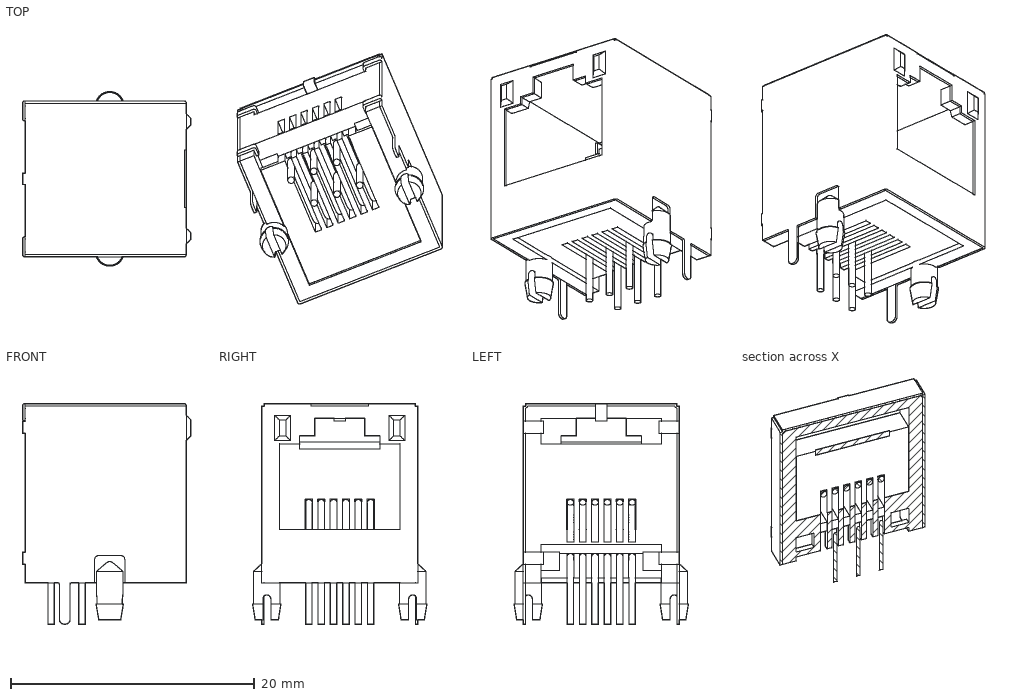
import cadquery as cq
import math


SHEET = 0.21
SHIELD_FRONT = 13.26
SHIELD_WIDTH = 12.84
SHIELD_HEIGHT = 14.75
BEND_RADIUS = 0.2

HOUSING_LENGTH = SHIELD_FRONT - SHEET
HOUSING_WIDTH = SHIELD_WIDTH - 2 * SHEET
HOUSING_HEIGHT = SHIELD_HEIGHT - SHEET
TOP_CHAMFER = 0.2
REAR_WALL = 1.92
FRONT_WALL = 1.0

CORE_WIDTH = 9.92
WINDOW_BOTTOM = 11.43
WINDOW_TOP = 13.52
CAVITY_BOTTOM = 4.4
LATCH_WIDE = 6.58
LATCH_WIDE_TOP = 12.08
LATCH_NARROW = 4.1
BEVEL_TOP = 11.98
BEVEL_RUN = 0.15
SILL_TOP = 11.59
SILL_LENGTH = 0.4
SILL_HEIGHT = 0.6

NOTCH_DEPTH = 1.5
NOTCH_TOP_OUTER = 3.15
NOTCH_TOP_INNER = 2.41
UNDERSIDE_STEP = 0.42
POCKET_INNER_Y = 3.43
POCKET_BOTTOM = 1.01
POCKET_TOP = 2.52
POCKET_DEPTH = 1.5

WIRE_COUNT = 6
WIRE_PITCH = 1.015
WIRE_DIAMETER = 0.55
WIRE_BOTTOM = -3.4
WIRE_ROW_X = (4.68, 2.14)
WIRE_RUN_Z = NOTCH_TOP_INNER - WIRE_DIAMETER / 2
WIRE_FOOT_BEND = 0.37
WIRE_SPRING_BEND = 0.6
WIRE_SPRING_SLOPE = math.radians(30)
WIRE_TIP_X = 1.7
WIRE_TIP_Z = 6.63
SLOT_WIDTH = 0.56
COMB_SLOT_BOTTOM = 3.37
COMB_SLOT_TOP = 6.89

POST_X = 6.96
POST_Y = 6.0
POST_RADIUS = 1.1
POST_TOP = 0.95
POST_CONE_HEIGHT = 1.0
POST_BARB_Z = -1.735
POST_BARB_RADIUS = 1.18
POST_END_Z = -3.05
POST_END_RADIUS = 0.965
POST_SLIT = 0.66
POST_SLIT_TOP = -1.0

POST_CUTOUT_WIDTH = 2.47
POST_CUTOUT_TOP = 2.24
POST_CUTOUT_FILLET = 0.3
LEG_X = 3.26
LEG_WIDTH = 0.9
LEG_BOTTOM = WIRE_BOTTOM
LEG_END_FILLET = 0.4
LEG_ROOT_FILLET = 0.12
HOOK_WIDTH = 1.0
HOOK_BOTTOMS = (1.52, 12.3)
HOOK_DEPTH = 0.55
TOP_HOOK_WIDTH = 0.95
BUMP_Y = 4.7
BUMP_Z = 12.74
BUMP_HEIGHT = 0.38
BUMP_WIDTH = 1.3
BUMP_LENGTH = 2.08
FRONT_RELIEF_WIDTH = 4.71
FRONT_RELIEF_DEPTH = 0.15


def block(x_range, y_range, z_range):
    """Box between two limits on each axis."""
    x0, x1 = x_range
    y0, y1 = y_range
    z0, z1 = z_range
    return cq.Workplane("XY").box(x1 - x0, y1 - y0, z1 - z0, centered=False).translate((x0, y0, z0))


def centred_block(x_range, width, z_range):
    """Box lying evenly on both sides of the middle plane."""
    return block(x_range, (-width / 2, width / 2), z_range)


def wire_positions():
    """Row X and Y of every wire."""
    first_y = -WIRE_PITCH * (WIRE_COUNT - 1) / 2
    return [(WIRE_ROW_X[i % 2], first_y + i * WIRE_PITCH) for i in range(WIRE_COUNT)]


def wire_spring():
    """Corner points of the spring bend, in X and Z: its start, its middle and its end."""
    rise = WIRE_SPRING_BEND * math.cos(WIRE_SPRING_SLOPE)
    reach = WIRE_SPRING_BEND * math.sin(WIRE_SPRING_SLOPE)
    centre_z = WIRE_RUN_Z + WIRE_SPRING_BEND
    end_z = centre_z + rise
    end_x = WIRE_TIP_X + (WIRE_TIP_Z - end_z) / math.tan(WIRE_SPRING_SLOPE)
    start_x = end_x - reach
    middle_angle = -WIRE_SPRING_SLOPE / 2
    middle = (
        start_x + WIRE_SPRING_BEND * math.cos(middle_angle),
        centre_z + WIRE_SPRING_BEND * math.sin(middle_angle),
    )
    return (start_x, WIRE_RUN_Z), middle, (end_x, end_z)


def wire(row_x, y):
    """Round contact: a pin, a run under the cavity floor and a spring rising towards the rear."""
    foot_centre = (row_x + WIRE_FOOT_BEND, WIRE_RUN_Z - WIRE_FOOT_BEND)
    foot_middle = (
        foot_centre[0] - WIRE_FOOT_BEND * math.sqrt(0.5),
        foot_centre[1] + WIRE_FOOT_BEND * math.sqrt(0.5),
    )
    spring_start, spring_middle, spring_end = wire_spring()
    path = (
        cq.Workplane("XZ", origin=(0, y, 0))
        .moveTo(row_x, WIRE_BOTTOM)
        .lineTo(row_x, foot_centre[1])
        .threePointArc(foot_middle, (foot_centre[0], WIRE_RUN_Z))
        .lineTo(*spring_start)
        .threePointArc(spring_middle, spring_end)
        .lineTo(WIRE_TIP_X, WIRE_TIP_Z)
    )
    section = cq.Workplane("XY", origin=(row_x, y, WIRE_BOTTOM)).circle(WIRE_DIAMETER / 2)
    return section.sweep(path)


def snap_post(side):
    """Split post with a conical top and a barbed lower end, on the +Y or -Y side."""
    post = (
        cq.Workplane("XZ")
        .moveTo(0, POST_TOP + POST_CONE_HEIGHT)
        .lineTo(POST_RADIUS, POST_TOP)
        .lineTo(POST_RADIUS, POST_BARB_Z)
        .lineTo(POST_BARB_RADIUS, POST_BARB_Z)
        .lineTo(POST_END_RADIUS, POST_END_Z)
        .lineTo(0, POST_END_Z)
        .close()
        .revolve(360, (0, 0), (0, 1))
    )
    slit_length = 2 * (POST_SLIT_TOP - POST_END_Z)
    slit = (
        cq.Workplane("YZ")
        .center(0, POST_END_Z)
        .slot2D(slit_length, POST_SLIT, 90)
        .extrude(2 * POST_BARB_RADIUS, both=True)
    )
    return post.cut(slit).translate((POST_X, side * POST_Y, 0))


def plug_passage():
    """Rear window, plug cavity and stepped latch passage, opening at the front."""
    inside = (REAR_WALL, HOUSING_LENGTH - FRONT_WALL)
    through_front = (REAR_WALL, HOUSING_LENGTH)
    window = centred_block((0, inside[1]), CORE_WIDTH, (WINDOW_BOTTOM, WINDOW_TOP))
    cavity = centred_block(through_front, CORE_WIDTH, (CAVITY_BOTTOM, WINDOW_BOTTOM))
    latch_wide = centred_block(through_front, LATCH_WIDE, (WINDOW_BOTTOM, LATCH_WIDE_TOP))
    latch_narrow = centred_block(through_front, LATCH_NARROW, (WINDOW_BOTTOM, WINDOW_TOP))
    bevel = (
        cq.Workplane("XZ")
        .moveTo(inside[1], BEVEL_TOP)
        .lineTo(inside[1] + BEVEL_RUN, WINDOW_BOTTOM)
        .lineTo(inside[1], WINDOW_BOTTOM)
        .close()
        .extrude(CORE_WIDTH / 2, both=True)
    )
    sill = centred_block(
        (REAR_WALL, REAR_WALL + SILL_LENGTH),
        LATCH_WIDE,
        (SILL_TOP - SILL_HEIGHT, SILL_TOP),
    )
    return window.union(cavity).union(latch_wide).union(latch_narrow).union(bevel).cut(sill)


def rear_notch():
    """Notch under the rear wall with a sloping roof, and the step in the underside."""
    notch = (
        cq.Workplane("XZ")
        .lineTo(0, NOTCH_TOP_OUTER)
        .lineTo(NOTCH_DEPTH, NOTCH_TOP_INNER)
        .lineTo(NOTCH_DEPTH, 0)
        .close()
        .extrude(CORE_WIDTH / 2, both=True)
    )
    step = centred_block((NOTCH_DEPTH, HOUSING_LENGTH - FRONT_WALL), CORE_WIDTH, (0, UNDERSIDE_STEP))
    return notch.union(step)


def side_pocket(side):
    """Pocket behind the rear notch at its +Y or -Y end."""
    middle_y = side * (CORE_WIDTH / 2 + POCKET_INNER_Y) / 2
    half_width = (CORE_WIDTH / 2 - POCKET_INNER_Y) / 2
    return block(
        (0, NOTCH_DEPTH + POCKET_DEPTH),
        (middle_y - half_width, middle_y + half_width),
        (POCKET_BOTTOM, POCKET_TOP),
    )


def wire_slots(y):
    """Clearance for one wire: comb slot in the rear wall, groove and cavity floor slot."""
    y_range = (y - SLOT_WIDTH / 2, y + SLOT_WIDTH / 2)
    bend_end = wire_spring()[0][0] + WIRE_SPRING_BEND + WIRE_DIAMETER / 2
    comb = block((0, REAR_WALL), y_range, (COMB_SLOT_BOTTOM, COMB_SLOT_TOP))
    groove = block((NOTCH_DEPTH, bend_end), y_range, (UNDERSIDE_STEP, NOTCH_TOP_INNER))
    floor = block((REAR_WALL, bend_end), y_range, (NOTCH_TOP_INNER, CAVITY_BOTTOM))
    return comb.union(groove).union(floor)


def housing_block():
    """Plain outer block of the housing, which also fills the inside of the shield."""
    return (
        centred_block((0, HOUSING_LENGTH), HOUSING_WIDTH, (0, HOUSING_HEIGHT))
        .edges("|X and >Z")
        .chamfer(TOP_CHAMFER)
    )


def make_housing():
    housing = housing_block().cut(plug_passage()).cut(rear_notch())
    for _, y in wire_positions():
        housing = housing.cut(wire_slots(y))
    for side in (-1, 1):
        housing = housing.cut(side_pocket(side)).union(snap_post(side))
    return housing


def post_cutout():
    """Round-cornered cutouts in both side sheets around the snap posts."""
    return (
        block(
            (POST_X - POST_CUTOUT_WIDTH / 2, POST_X + POST_CUTOUT_WIDTH / 2),
            (-SHIELD_WIDTH, SHIELD_WIDTH),
            (0, POST_CUTOUT_TOP),
        )
        .edges("|Y and >Z")
        .fillet(POST_CUTOUT_FILLET)
    )


def front_relief():
    """Gap in the bend between the top and front sheets."""
    return centred_block(
        (SHIELD_FRONT - FRONT_RELIEF_DEPTH, SHIELD_FRONT),
        FRONT_RELIEF_WIDTH,
        (HOUSING_HEIGHT, SHIELD_HEIGHT),
    )


def outer_side_range(side):
    """Y limits of the side sheet on the +Y or -Y side."""
    return sorted((side * HOUSING_WIDTH / 2, side * SHIELD_WIDTH / 2))


def ground_leg(side):
    """Solder leg hanging from a side sheet."""
    return (
        block(
            (LEG_X - LEG_WIDTH / 2, LEG_X + LEG_WIDTH / 2),
            outer_side_range(side),
            (LEG_BOTTOM, 0),
        )
        .edges("|Y and <Z")
        .fillet(LEG_END_FILLET)
    )


def round_leg_roots(shield, side):
    """Fillets where a solder leg joins the lower edge of its side sheet."""
    middle_y = side * (SHIELD_WIDTH - SHEET) / 2
    roots = cq.selectors.BoxSelector(
        (LEG_X - LEG_WIDTH, middle_y - SHEET, -SHEET),
        (LEG_X + LEG_WIDTH, middle_y + SHEET, SHEET),
    )
    return shield.edges("|Y").edges(roots).fillet(LEG_ROOT_FILLET)


def side_hook(side, bottom):
    """Tab folded over the rear face and on into the housing opening."""
    z_range = (bottom, bottom + HOOK_WIDTH)
    inner_y = CORE_WIDTH / 2 - SHEET
    strap = (
        block((-SHEET, 0), (inner_y, SHIELD_WIDTH / 2), z_range)
        .edges("|Z and <X")
        .fillet(BEND_RADIUS)
    )
    end = block((0, HOOK_DEPTH), (inner_y, CORE_WIDTH / 2), z_range)
    hook = strap.union(end)
    return hook if side > 0 else hook.mirror("XZ")


def top_hook():
    """Tab folded from the top sheet over the rear face and into the window."""
    inner_z = WINDOW_TOP - SHEET
    strap = (
        centred_block((-SHEET, 0), TOP_HOOK_WIDTH, (inner_z, SHIELD_HEIGHT))
        .edges("|Y and <X")
        .fillet(BEND_RADIUS)
    )
    end = centred_block((0, HOOK_DEPTH), TOP_HOOK_WIDTH, (inner_z, WINDOW_TOP))
    return strap.union(end)


def contact_bump(side):
    """Tapered contact bump on the front sheet."""
    return (
        cq.Workplane("YZ", origin=(SHIELD_FRONT, side * BUMP_Y, BUMP_Z))
        .rect(BUMP_WIDTH, BUMP_LENGTH)
        .workplane(offset=BUMP_HEIGHT)
        .rect(BUMP_WIDTH - 2 * BUMP_HEIGHT, BUMP_LENGTH - 2 * BUMP_HEIGHT)
        .loft()
    )


def make_shield():
    wrap = centred_block((0, SHIELD_FRONT), SHIELD_WIDTH, (0, SHIELD_HEIGHT))
    wrap = wrap.edges(">X and (|Z or >Z)").fillet(BEND_RADIUS)
    front_opening = plug_passage().translate((SHEET, 0, 0))
    shield = wrap.cut(housing_block()).cut(front_opening).cut(post_cutout()).cut(front_relief())
    for side in (-1, 1):
        y_limits = outer_side_range(side)
        corner = block((0, SHIELD_FRONT), y_limits, (HOUSING_HEIGHT, SHIELD_HEIGHT))
        shield = shield.cut(corner).union(ground_leg(side)).union(contact_bump(side))
        shield = round_leg_roots(shield, side)
        for bottom in HOOK_BOTTOMS:
            shield = shield.union(side_hook(side, bottom))
    return shield.union(top_hook())


housing = make_housing()
shield = make_shield()
wires = [wire(row_x, y) for row_x, y in wire_positions()]

result = cq.Compound.makeCompound([housing.val(), shield.val(), *[w.val() for w in wires]])